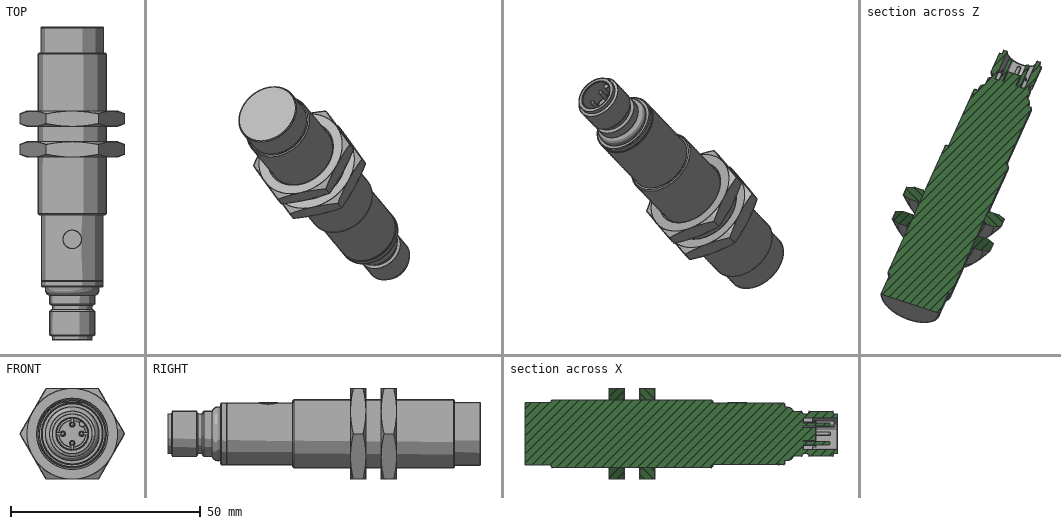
import cadquery as cq
import math

length = 82.65

tip_diameter = 10.5
thread_diameter = 12.0
tip_end = 1.0
thread_start = 1.2
thread_end = 7.5
neck_start = 8.0
neck_end = 9.0
collar_start = 9.5
collar_end = 11.7
shoulder_diameter = 14.2
shoulder_start = 13.5
bulge_angle = 55

housing_diameter = 16.4
housing_start = 14.0
edge_chamfer = 0.25
groove_start = 15.45
groove_width = 0.25
groove_diameter = 15.9

sleeve_diameter = 18.0
sleeve_start = 33.0
sleeve_end = 75.8
sleeve_chamfer = 0.3
cap_diameter = 16.6
cap_chamfer = 0.25

socket_diameter = 8.3
socket_mouth_diameter = 8.7
socket_depth = 6.6
insert_diameter = 7.0
insert_height = 0.8
key_diameter = 1.65
key_circle_radius = 3.8
key_start = 1.0
key_angle = 45

pin_diameter = 1.0
pin_circle_radius = 2.5
pin_start = 1.9
pin_count = 4
pin_well_diameter = 1.4
slot_width = 0.6
slot_floor = 9.1

pad_diameter = 4.9
pad_center_y = 26.5
pad_top = 8.3

nut_across_flats = 24.0
nut_thickness = 4.05
nut_chamfer_height = 0.75
nut_bore_chamfer = 0.4
nut_starts = [48.3, 56.4]


def cylinder(diameter, start, end, x=0.0, z=0.0):
    """Cylinder along Y from start to end."""
    return cq.Workplane("XZ", origin=(x, start, z)).circle(diameter / 2).extrude(start - end)


def make_outer_shape():
    tip_r = tip_diameter / 2
    thread_r = thread_diameter / 2
    shoulder_r = shoulder_diameter / 2
    housing_r = housing_diameter / 2
    groove_r = groove_diameter / 2
    groove_end = groove_start + groove_width
    sleeve_r = sleeve_diameter / 2
    cap_r = cap_diameter / 2
    bulge_mid = (
        thread_r + (shoulder_r - thread_r) * math.sin(math.radians(bulge_angle)),
        shoulder_start - (shoulder_start - collar_end) * math.cos(math.radians(bulge_angle)),
    )
    profile = (
        cq.Workplane("XY")
        .moveTo(0, 0)
        .lineTo(tip_r, 0)
        .lineTo(tip_r, tip_end)
        .lineTo(thread_r, thread_start)
        .lineTo(thread_r, thread_end)
        .lineTo(tip_r, neck_start)
        .lineTo(tip_r, neck_end)
        .lineTo(thread_r, collar_start)
        .lineTo(thread_r, collar_end)
        .threePointArc(bulge_mid, (shoulder_r, shoulder_start))
        .lineTo(shoulder_r, housing_start)
        .lineTo(housing_r - edge_chamfer, housing_start)
        .lineTo(housing_r, housing_start + edge_chamfer)
        .lineTo(housing_r, groove_start)
        .lineTo(groove_r, groove_start)
        .lineTo(groove_r, groove_end)
        .lineTo(housing_r, groove_end)
        .lineTo(housing_r, sleeve_start)
        .lineTo(sleeve_r - sleeve_chamfer, sleeve_start)
        .lineTo(sleeve_r, sleeve_start + sleeve_chamfer)
        .lineTo(sleeve_r, sleeve_end - sleeve_chamfer)
        .lineTo(sleeve_r - sleeve_chamfer, sleeve_end)
        .lineTo(cap_r, sleeve_end)
        .lineTo(cap_r, length - cap_chamfer)
        .lineTo(cap_r - cap_chamfer, length)
        .lineTo(0, length)
        .close()
    )
    return profile.revolve(360, (0, 0, 0), (0, 1, 0))


def make_socket():
    """Volume removed from the connector end; the key and insert stay standing in it."""
    socket = cylinder(socket_diameter, 0, socket_depth)
    mouth_r = socket_mouth_diameter / 2
    mouth_depth = mouth_r - socket_diameter / 2
    mouth_profile = [(0, 0), (mouth_r, 0), (socket_diameter / 2, mouth_depth), (0, mouth_depth)]
    mouth = cq.Workplane("XY").polyline(mouth_profile).close().revolve(360, (0, 0, 0), (0, 1, 0))
    insert = cylinder(insert_diameter, socket_depth - insert_height, socket_depth)
    key_x = key_circle_radius * math.cos(math.radians(key_angle))
    key_z = key_circle_radius * math.sin(math.radians(key_angle))
    key = cylinder(key_diameter, key_start, socket_depth, key_x, key_z)
    return socket.union(mouth).cut(insert).cut(key)


def pin_place(angle):
    x = pin_circle_radius * math.cos(math.radians(angle))
    z = pin_circle_radius * math.sin(math.radians(angle))
    return x, z


def make_pin_slot(angle):
    """Round clearance around a pin, opening through a narrow slot to the socket wall."""
    x, z = pin_place(angle)
    slot_start = socket_depth - insert_height
    well = cylinder(pin_well_diameter, slot_start, slot_floor, x, z)
    slot_length = socket_diameter / 2 - pin_circle_radius
    slot = (
        cq.Workplane("XY")
        .box(slot_length, slot_floor - slot_start, slot_width, centered=(False, False, True))
        .translate((pin_circle_radius, slot_start, 0))
        .rotate((0, 0, 0), (0, 1, 0), -angle)
    )
    return well.union(slot)


def make_pin(angle):
    """Contact pin with a hemispherical tip, standing on the floor of its slot."""
    x, z = pin_place(angle)
    pin_r = pin_diameter / 2
    dome_center_y = pin_start + pin_r
    dome = cq.Workplane("XY", origin=(x, dome_center_y, z)).sphere(pin_r)
    return cylinder(pin_diameter, dome_center_y, slot_floor, x, z).union(dome)


def make_sensor():
    sensor = make_outer_shape().cut(make_socket())
    for i in range(pin_count):
        angle = i * 360 / pin_count
        sensor = sensor.cut(make_pin_slot(angle)).union(make_pin(angle))
    pad = cq.Workplane("XY", origin=(0, pad_center_y, 0)).circle(pad_diameter / 2).extrude(pad_top)
    return sensor.union(pad)


def make_nut(start):
    corner_r = nut_across_flats / math.sqrt(3)
    face_r = nut_across_flats / 2
    bore_r = sleeve_diameter / 2
    end = start + nut_thickness
    blank = (
        cq.Workplane("XZ", origin=(0, start, 0)).polygon(6, 2 * corner_r).extrude(-nut_thickness)
    )
    envelope = (
        cq.Workplane("XY")
        .moveTo(bore_r + nut_bore_chamfer, start)
        .lineTo(face_r, start)
        .lineTo(corner_r, start + nut_chamfer_height)
        .lineTo(corner_r, end - nut_chamfer_height)
        .lineTo(face_r, end)
        .lineTo(bore_r + nut_bore_chamfer, end)
        .lineTo(bore_r, end - nut_bore_chamfer)
        .lineTo(bore_r, start + nut_bore_chamfer)
        .close()
        .revolve(360, (0, 0, 0), (0, 1, 0))
    )
    return blank.intersect(envelope)


sensor = make_sensor()
nuts = [make_nut(start) for start in nut_starts]

result = cq.Compound.makeCompound([sensor.val(), *[nut.val() for nut in nuts]])